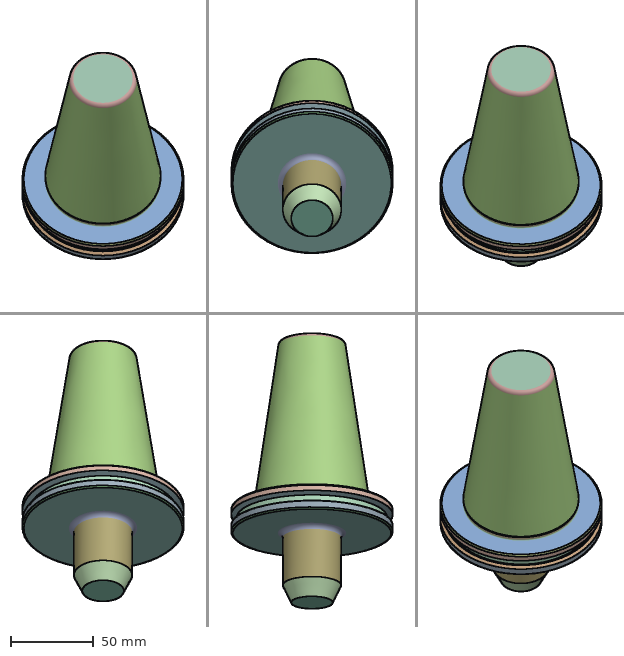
import cadquery as cq

total_height = 164.8

taper_length = 101.8
taper_large_radius = 35.0
taper_ratio = 7 / 24
taper_end_fillet = 2.5

neck_radius = 34.6
neck_length = 3.1
neck_chamfer_height = 1.0
neck_fillet = 0.5

flange_radius = 48.8
flange_thickness = 15.8
flange_chamfer = 1.0
groove_radius = 45.5
groove_width = 6.6
groove_top_drop = 4.3
groove_top_wall_rise = 1.8
groove_bottom_wall_rise = 1.0
groove_ledge_radius = 46.5

shank_radius = 17.6
shank_fillet = 3.0
tip_radius = 12.5
tip_height = 10.9

taper_base_z = total_height - taper_length
taper_small_radius = taper_large_radius - taper_length * taper_ratio / 2
flange_top_z = taper_base_z - neck_length
flange_bottom_z = flange_top_z - flange_thickness
groove_top_z = flange_top_z - groove_top_drop
groove_bottom_z = groove_top_z - groove_width


def revolve_outline(outline):
    return outline.close().revolve(360, (0, 0, 0), (0, 1, 0))


def make_taper():
    cone = revolve_outline(
        cq.Workplane("XZ")
        .moveTo(0, taper_base_z)
        .lineTo(taper_large_radius, taper_base_z)
        .lineTo(taper_small_radius, total_height)
        .lineTo(0, total_height)
    )
    return cone.faces(">Z").edges().fillet(taper_end_fillet)


def make_neck():
    """Neck tapering in under the cone, then flaring into the flange with a small fillet."""
    return revolve_outline(
        cq.Workplane("XZ")
        .moveTo(0, flange_top_z)
        .lineTo(neck_radius + neck_fillet, flange_top_z)
        .radiusArc((neck_radius, flange_top_z + neck_fillet), neck_fillet)
        .lineTo(neck_radius, taper_base_z - neck_chamfer_height)
        .lineTo(taper_large_radius, taper_base_z)
        .lineTo(0, taper_base_z)
    )


def make_flange():
    disc = (
        cq.Workplane("XY", origin=(0, 0, flange_bottom_z))
        .circle(flange_radius)
        .extrude(flange_thickness)
        .faces("<Z or >Z")
        .edges()
        .chamfer(flange_chamfer)
    )
    groove = revolve_outline(
        cq.Workplane("XZ")
        .moveTo(flange_radius, groove_bottom_z)
        .lineTo(groove_ledge_radius, groove_bottom_z + groove_bottom_wall_rise)
        .lineTo(groove_radius, groove_bottom_z + groove_bottom_wall_rise)
        .lineTo(groove_radius, groove_top_z - groove_top_wall_rise)
        .lineTo(flange_radius, groove_top_z)
    )
    return disc.cut(groove)


def make_shank():
    """Pilot with a conical tip and a fillet blending into the flange."""
    return revolve_outline(
        cq.Workplane("XZ")
        .lineTo(tip_radius, 0)
        .lineTo(shank_radius, tip_height)
        .lineTo(shank_radius, flange_bottom_z - shank_fillet)
        .radiusArc((shank_radius + shank_fillet, flange_bottom_z), shank_fillet)
        .lineTo(0, flange_bottom_z)
    )


result = make_taper().union(make_neck()).union(make_flange()).union(make_shank())